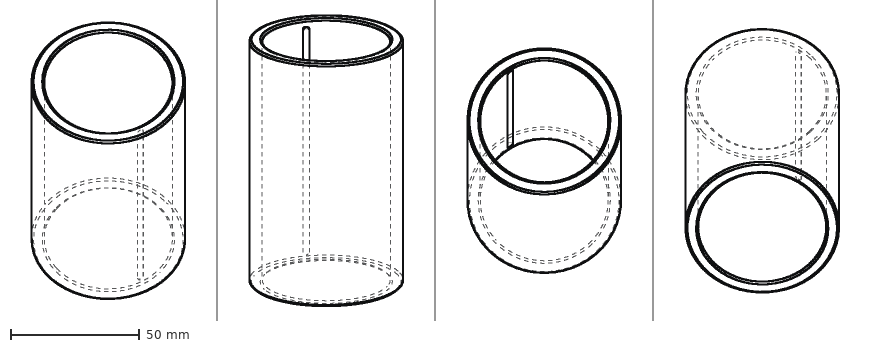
import cadquery as cq

length = 100.0
outer_diameter = 60.0
bore_diameter = 50.0
edge_chamfer = 0.8

groove_radius = 1.3
groove_end_margin = 3.0

bore_radius = bore_diameter / 2
groove_length = length - 2 * (groove_end_margin + groove_radius)

sleeve = (
    cq.Workplane("XY", origin=(0, 0, -length / 2))
    .circle(outer_diameter / 2)
    .circle(bore_radius)
    .extrude(length)
)

sleeve = sleeve.faces("|Z").edges().chamfer(edge_chamfer)

groove = cq.Workplane("XY").circle(groove_radius).extrude(groove_length / 2, both=True)
groove = groove.translate((bore_radius, 0, 0))
for end_height in (-groove_length / 2, groove_length / 2):
    groove_end = cq.Workplane("XY").sphere(groove_radius)
    groove = groove.union(groove_end.translate((bore_radius, 0, end_height)))

result = sleeve.cut(groove)